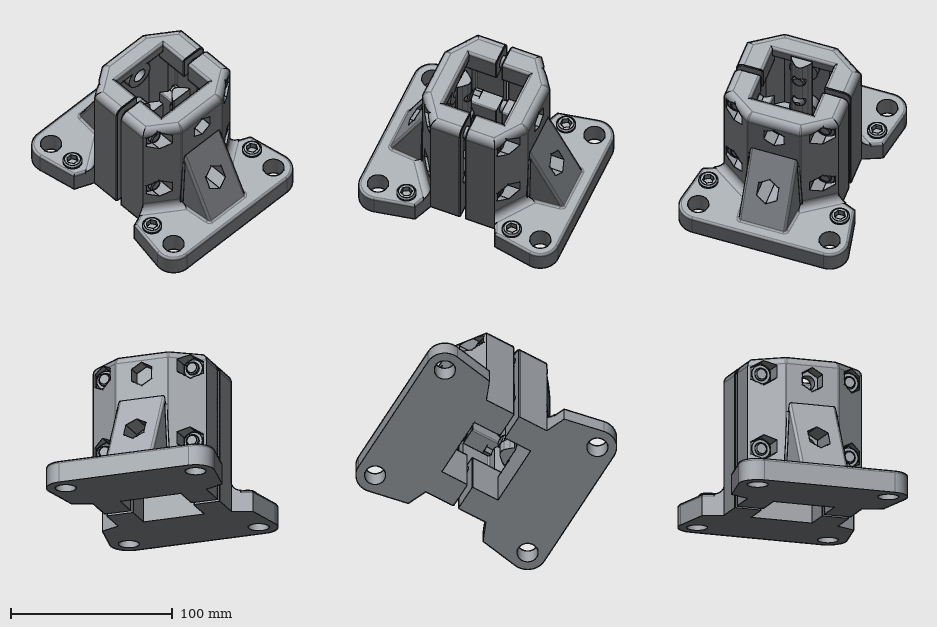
import cadquery as cq
import math


length_x = 133.0
width_y = 110.0
plate_height = 14.0
plate_edge_round = 1.5
corner_radius = 12.0
inner_corner_x = 26.7
inner_corner_y = 50.0
gap_half = 1.7
gap_edge_chamfer = 0.5

tower_height = 89.9
tower_half_x = 35.5
tower_half_y = 37.5
tower_corner_x = 21.5
tower_corner_y = 17.4
tower_edge_round = 1.5
tower_top_round = 5.0
tower_foot_round = 5.0
bore_half = 20.1
bore_lip_round = 1.7

relief_inset = 8.6
side_relief_half_y = 31.4
relief_round = 1.0
relief_mouth_round = 0.8
relief_middle_z = 56.1
side_relief_half_height = 17.7
end_relief_half_height = 26.5

rib_foot_x = 58.5
rib_top_z = 60.0
rib_half_width = 15.4
rib_draft_angle = 6.0
rib_depth = 21.3
rib_edge_round = 1.6
rib_foot_round = 1.5
rib_wall_round = 1.0
rib_rise = rib_top_z - plate_height
rib_run = rib_foot_x - tower_half_x
rib_slope = math.hypot(rib_rise, rib_run)
rib_flare = math.tan(math.radians(rib_draft_angle))

strip_overlap = 1.5

tolerance = 0.01

mount_hole_diameter = 13.0
mount_x = length_x / 2 - corner_radius
mount_y = width_y / 2 - corner_radius
screw_x = 35.4
screw_head_diameter = 12.0
screw_head_chamfer = 1.0
screw_head_height = 2.1
screw_socket_flats = 6.3
screw_socket_depth = 4.0

stud_diameter = 8.0
stud_y = 29.0
stud_heights = (32.3, 80.0)
stud_left_end = 23.3
stud_right_end = 24.6
stud_tip_chamfer = 0.8
stud_pocket_flats = 13.5
stud_pocket_floor = 15.4
nut_flats = 13.0
nut_face_diameter = 12.0
nut_outer_x = 22.0

bolt_heights = (36.0, 76.1)
bolt_hole_diameter = 9.3
bolt_pocket_flats = 13.3
bolt_pocket_floor = 26.6
bolt_boss_radius = 9.0
bolt_diameter = 8.5
bolt_tip_x = 10.2
bolt_tip_chamfer = 0.9
bar_back_x = 17.4
bar_nose_x = 10.4
bar_nose_end = (11.3, 2.5)
bar_knee = (14.0, 5.0)
bar_shoulder = (16.4, 6.9)
bar_top_z = 91.0
point_tip_x = 8.6
point_tip_radius = 1.6


def mirror_x(shape):
    return shape.mirror("YZ")


def mirror_y(shape):
    return shape.mirror("XZ")


def both_y(shape):
    return shape.union(mirror_y(shape))


def box(x0, x1, y0, y1, z0, z1):
    return cq.Workplane("XY").box(x1 - x0, y1 - y0, z1 - z0, centered=False).translate((x0, y0, z0))


def rod_x(radius, x0, x1, y, z):
    return cq.Workplane("YZ", origin=(x0, y, z)).circle(radius).extrude(x1 - x0)


def across_corners(flats):
    return flats / math.cos(math.pi / 6)


def hex_x(flats, x0, x1, y, z):
    """Hexagonal prism along X with two corners pointing up and down."""
    sketch = cq.Workplane("YZ", origin=(x0, y, z)).transformed(rotate=(0, 0, 90))
    return sketch.polygon(6, across_corners(flats)).extrude(x1 - x0)


def max_reach(edge):
    """Larger distance of an edge's middle from the X and Y axes."""
    return max(abs(edge.Center().x), abs(edge.Center().y))


def plate_outline():
    """Half base plate (positive Y) with its rounded outer corner."""
    edge_x = inner_corner_x - mount_x
    edge_y = inner_corner_y - mount_y
    distance = math.hypot(edge_x, edge_y)
    tangent_angle = math.atan2(edge_y, edge_x) - math.acos(corner_radius / distance)

    def on_corner(angle):
        return (mount_x + corner_radius * math.cos(angle), mount_y + corner_radius * math.sin(angle))

    return (
        cq.Workplane("XY")
        .moveTo(tower_corner_x, 0)
        .lineTo(tower_corner_x, tower_half_y)
        .lineTo(inner_corner_x, inner_corner_y)
        .lineTo(*on_corner(tangent_angle))
        .threePointArc(on_corner(tangent_angle / 2), on_corner(0))
        .lineTo(length_x / 2, 0)
        .close()
    )


def plate():
    body = both_y(plate_outline().extrude(plate_height))
    rim = body.faces(">Z").edges("not <X")
    return rim.fillet(plate_edge_round)


def octagon(inset):
    """Tower outline moved inwards by `inset`."""
    rise = tower_half_y - tower_corner_y
    run = tower_half_x - tower_corner_x
    slant = math.hypot(rise, run)
    corner_x = tower_corner_x - inset * (slant - run) / rise
    corner_y = tower_corner_y - inset * (slant - rise) / run
    half_x = tower_half_x - inset
    half_y = tower_half_y - inset
    quarter = [(corner_x, half_y), (half_x, corner_y)]
    right = quarter + [(x, -y) for x, y in reversed(quarter)]
    left = [(-x, -y) for x, y in right]
    return cq.Workplane("XY").polyline(right + left).close()


def tower():
    body = octagon(0).extrude(tower_height)
    end_edges = body.edges("|Z").filter(lambda edge: abs(edge.Center().x) > tower_corner_x + tolerance)
    body = end_edges.fillet(tower_edge_round)
    return body.faces(">Z").edges().fillet(tower_top_round)


def rib():
    """Buttress with a drafted section that runs up along its sloping face."""
    along = cq.Vector(-rib_run, 0, rib_rise) / rib_slope
    overrun = 0.5 * rib_slope
    start = cq.Vector(rib_foot_x, 0, plate_height) - along * overrun
    section = cq.Plane(origin=start.toTuple(), xDir=(0, -1, 0), normal=along.toTuple())
    base_half = rib_half_width + rib_depth * rib_flare
    body = (
        cq.Workplane(section)
        .moveTo(-rib_half_width, 0)
        .lineTo(rib_half_width, 0)
        .lineTo(base_half, -rib_depth)
        .lineTo(-base_half, -rib_depth)
        .close()
        .extrude(rib_slope + 2 * overrun)
    )
    sloping_edges = body.edges("#(0,1,0)").filter(
        lambda edge: abs(abs(edge.Center().y) - rib_half_width) < tolerance
    )
    body = sloping_edges.fillet(rib_edge_round)
    return body.intersect(box(tower_corner_x, length_x / 2, -width_y, width_y, 0, tower_height))


def concave_strip(corner, side_a, side_b, radius, start, end):
    """Fillet strip in the inner corner of two walls that leave `corner` along two unit vectors.

    It runs along side_a x side_b from distance `start` to distance `end` and reaches a little
    into both walls.
    """
    along = side_a.cross(side_b)
    section = cq.Plane(origin=corner.toTuple(), xDir=side_a.toTuple(), normal=along.toTuple())
    arc_middle = radius * (1 - math.sqrt(0.5))
    return (
        cq.Workplane(section)
        .workplane(offset=start)
        .moveTo(radius, 0)
        .threePointArc((arc_middle, arc_middle), (0, radius))
        .lineTo(-strip_overlap, radius)
        .lineTo(-strip_overlap, -strip_overlap)
        .lineTo(radius, -strip_overlap)
        .close()
        .extrude(end - start)
    )


def tower_foot_fillet():
    """Concave round between the plate and one slanted wall of the tower."""
    outward = cq.Vector(tower_half_y - tower_corner_y, tower_half_x - tower_corner_x, 0).normalized()
    corner = cq.Vector(tower_half_x, tower_corner_y, plate_height)
    start = -2 * tower_half_y
    strip = concave_strip(corner, outward, cq.Vector(0, 0, 1), tower_foot_round, start, tower_foot_round)
    return strip.intersect(plate_outline().extrude(tower_height))


def rib_wall_fillet():
    """Concave round between one flank of the rib and the end wall of the tower."""
    outward = cq.Vector(0, 1, rib_flare * rib_run / rib_slope).normalized()
    corner = cq.Vector(tower_half_x, rib_half_width, rib_top_z)
    top = (rib_edge_round + rib_wall_round) * rib_slope / rib_run
    return concave_strip(corner, cq.Vector(1, 0, 0), outward, rib_wall_round, -rib_rise, -top)


def plate_with_rib():
    """Plate and rib, rounded where the rib stands on the plate."""
    body = plate().union(rib())
    foot_edges = body.edges().filter(
        lambda edge: abs(edge.Center().z - plate_height) < tolerance
        and abs(edge.Center().y) < tower_half_y / 2
        and tower_corner_x + tolerance < edge.Center().x < rib_foot_x + tolerance
    )
    return foot_edges.fillet(rib_foot_round)


def clamp_half():
    """Right half: plate, tower and rib around a square bore."""
    bore = box(-bore_half, bore_half, -bore_half, bore_half, 0, tower_height)
    shell = tower().cut(bore)
    lip_edges = shell.faces(">Z").edges().filter(lambda edge: max_reach(edge) < bore_half + tolerance)
    shell = lip_edges.fillet(bore_lip_round)
    shell = shell.intersect(box(gap_half, length_x, -width_y, width_y, 0, tower_height))
    outer_edges = shell.faces("<X").edges("not <Z").filter(
        lambda edge: abs(edge.Center().y) > bore_half + bore_lip_round
    )
    shell = outer_edges.chamfer(gap_edge_chamfer)
    half = plate_with_rib().cut(bore).union(shell)
    return half.union(both_y(tower_foot_fillet())).union(both_y(rib_wall_fillet()))


def end_relief():
    """Cored pocket in the end wall, leaving a round boss at each bolt."""
    core = octagon(relief_inset).extrude(2 * end_relief_half_height)
    core = core.translate((0, 0, relief_middle_z - end_relief_half_height))
    reach = box(0, tower_half_x, -bore_half, bore_half, 0, tower_height)
    core = core.intersect(reach)
    for z in bolt_heights:
        core = core.cut(rod_x(bolt_boss_radius, bore_half, tower_half_x, 0, z))
    return core


def side_relief():
    """Cored space between the stud levels, reaching into both side walls."""
    bottom = relief_middle_z - side_relief_half_height
    top = relief_middle_z + side_relief_half_height
    core = box(-bore_half, bore_half, -side_relief_half_y, side_relief_half_y, bottom, top)
    core = core.edges("|Z").fillet(relief_round)
    corners = octagon(relief_inset).extrude(top - bottom).translate((0, 0, bottom))
    corners = corners.intersect(box(bore_half, tower_half_x, -tower_half_y, tower_half_y, bottom, top))
    for z in bolt_heights:
        corners = corners.cut(rod_x(bolt_boss_radius, bore_half, tower_half_x, 0, z))
    return core.union(corners)


def stud_sites():
    return [(y, z) for y in (-stud_y, stud_y) for z in stud_heights]


def cored_half():
    """Clamp half with its reliefs, hexagonal pockets and mounting holes."""
    half = clamp_half().cut(end_relief()).cut(side_relief())
    mouth_edges = half.edges("|X").filter(
        lambda edge: abs(abs(edge.Center().y) - bore_half) < tolerance
        and abs(abs(edge.Center().z - relief_middle_z) - side_relief_half_height) < tolerance
    )
    half = mouth_edges.fillet(relief_mouth_round)
    for y, z in stud_sites():
        half = half.cut(hex_x(stud_pocket_flats, stud_pocket_floor, length_x / 2, y, z))
    for z in bolt_heights:
        half = half.cut(hex_x(bolt_pocket_flats, bolt_pocket_floor, length_x / 2, 0, z))
    holes = (
        cq.Workplane("XY")
        .pushPoints([(mount_x, mount_y), (mount_x, -mount_y)])
        .circle(mount_hole_diameter / 2)
        .extrude(plate_height)
    )
    return half.cut(holes)


def nut(y, z):
    """Nut seated on the pocket floor, its outer corners coned down to the face circle."""
    nut_corner_radius = across_corners(nut_flats) / 2
    round_blank = rod_x(nut_corner_radius, stud_pocket_floor, nut_outer_x, y, z)
    coned_blank = round_blank.faces(">X").chamfer(nut_corner_radius - nut_face_diameter / 2)
    return hex_x(nut_flats, stud_pocket_floor, nut_outer_x, y, z).intersect(coned_blank)


def studs():
    parts = cq.Workplane("XY")
    for y, z in stud_sites():
        stud = rod_x(stud_diameter / 2, -stud_left_end, stud_right_end, y, z)
        stud = stud.faces("<X or >X").chamfer(stud_tip_chamfer)
        parts = parts.union(stud).union(nut(y, z)).union(mirror_x(nut(y, z)))
    return parts


def plate_screw(x, y, socket_turn):
    """Socket screw whose coned head stands proud of the plate."""
    head = (
        cq.Workplane("XY", origin=(x, y, plate_height))
        .circle(screw_head_diameter / 2)
        .extrude(screw_head_height)
        .faces(">Z")
        .chamfer(screw_head_chamfer)
    )
    socket = (
        cq.Workplane("XY", origin=(x, y, plate_height + screw_head_height))
        .transformed(rotate=(0, 0, socket_turn))
        .polygon(6, across_corners(screw_socket_flats))
        .extrude(-screw_socket_depth)
    )
    return head, socket


def slot_bar():
    """Bar with a blunt-nosed section, hung on the two bolts."""
    flank = [bar_nose_end, bar_knee, bar_shoulder, (bar_back_x, bar_shoulder[1])]
    far_flank = [(x, -y) for x, y in reversed(flank)]
    height = 2 * (bar_top_z - relief_middle_z)
    return (
        cq.Workplane("XY", origin=(0, 0, bar_top_z))
        .polyline(flank + far_flank)
        .threePointArc((bar_nose_x, 0), bar_nose_end)
        .close()
        .extrude(-height)
    )


def bar_bolts():
    parts = cq.Workplane("XY")
    for z in bolt_heights:
        bolt = rod_x(bolt_diameter / 2, bolt_tip_x, bolt_pocket_floor, 0, z)
        parts = parts.union(bolt.faces("<X").chamfer(bolt_tip_chamfer))
    return parts


def point_screw():
    """Cone-pointed screw in the middle of the bar."""
    radius = bolt_diameter / 2
    point = rod_x(radius, point_tip_x, bar_back_x, 0, relief_middle_z)
    return point.faces("<X").chamfer(radius - point_tip_radius)


right_half = cored_half()
left_half = mirror_x(right_half)
for hole_z in bolt_heights:
    left_half = left_half.cut(rod_x(bolt_hole_diameter / 2, -bolt_pocket_floor, 0, 0, hole_z))

result = left_half.union(right_half).union(studs())
result = result.union(slot_bar()).union(bar_bolts()).union(point_screw())

for side_x in (-1, 1):
    for side_y in (-1, 1):
        turn = 0 if (side_x, side_y) == (-1, 1) else 30
        screw_head, screw_socket = plate_screw(side_x * screw_x, side_y * mount_y, turn)
        result = result.union(screw_head).cut(screw_socket)